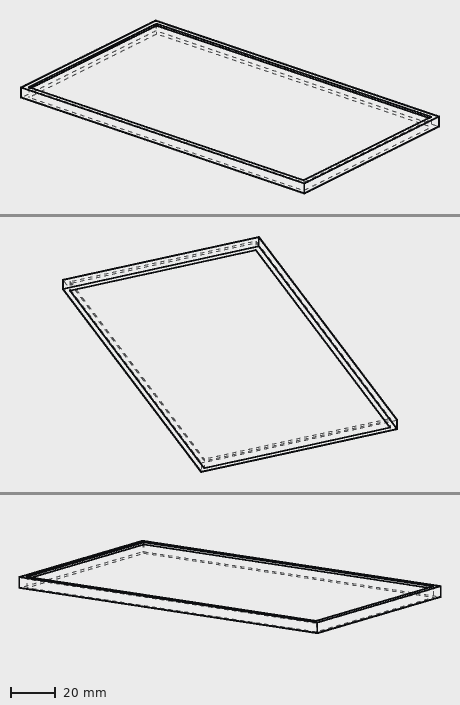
import cadquery as cq

length = 165.0
width = 95.0
height = 5.0
rim_width = 2.5
panel_recess = 1.0

opening_length = length - 2 * rim_width
opening_width = width - 2 * rim_width
panel_thickness = height - panel_recess


def make_plate(size_x, size_y, thickness):
    """Rectangular plate centred on Z, standing on the XY plane."""
    return cq.Workplane("XY").rect(size_x, size_y).extrude(thickness)


def make_frame():
    """Rectangular rim with an opening through its full height."""
    opening = make_plate(opening_length, opening_width, height)
    return make_plate(length, width, height).cut(opening)


def make_panel():
    """Flat panel seated in the frame opening."""
    return make_plate(opening_length, opening_width, panel_thickness)


frame = make_frame()
panel = make_panel()

result = cq.Compound.makeCompound([frame.val(), panel.val()])